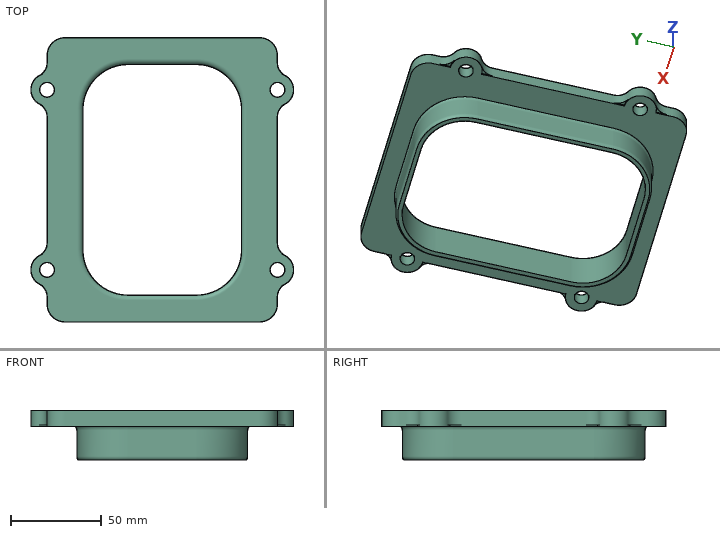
import cadquery as cq
import math

plate_width = 128.0
plate_length = 158.0
plate_thickness = 9.0
plate_corner_radius = 10.0
total_height = 27.6

lug_radius = 9.0
lug_pitch_y = 100.0
screw_hole_diameter = 8.0

lug_blend_radius = 8.0
lug_blend_thickness = 8.0

collar_width = 95.0
collar_length = 135.0
collar_corner_radius = 28.5
collar_wall = 3.5

fillet_radius = 3.0
rim_fillet_radius = 2.5
rim_trim = 0.5

select_margin = 0.2

plate_bottom = total_height - plate_thickness
blend_bottom = total_height - lug_blend_thickness
opening_width = collar_width - 2 * collar_wall
opening_length = collar_length - 2 * collar_wall
opening_corner_radius = collar_corner_radius - collar_wall
lug_centers = [
    (side * plate_width / 2, end * lug_pitch_y / 2)
    for side in (-1, 1)
    for end in (-1, 1)
]


def rounded_block(width, length, corner_radius, bottom, top):
    """Block centred on the Z axis with rounded vertical edges."""
    block = cq.Workplane("XY").workplane(offset=bottom).rect(width, length).extrude(top - bottom)
    return block.edges("|Z").fillet(corner_radius)


def cylinders(centers, radius, bottom, top):
    """Vertical cylinders of one radius at the given XY centres."""
    plane = cq.Workplane("XY").workplane(offset=bottom)
    return plane.pushPoints(centers).circle(radius).extrude(top - bottom)


def edges_near_plane(width, length, z):
    """Selector for edges at height z inside a centred width x length rectangle."""
    return cq.selectors.BoxSelector(
        (-width / 2 - select_margin, -length / 2 - select_margin, z - select_margin),
        (width / 2 + select_margin, length / 2 + select_margin, z + select_margin),
    )


def make_plate(bottom):
    """Plate with its four lugs, from the given height up to the top face."""
    plate = rounded_block(plate_width, plate_length, plate_corner_radius, bottom, total_height)
    return plate.union(cylinders(lug_centers, lug_radius, bottom, total_height))


def make_lug_blend(center):
    """Web on both sides of one lug, hollowed by arcs tangent to the lug and the plate edge."""
    edge_x, lug_y = center
    side = math.copysign(1, edge_x)
    center_distance = lug_radius + lug_blend_radius
    arc_offset_y = math.sqrt(center_distance**2 - lug_blend_radius**2)

    tangent_ratio = lug_radius / center_distance
    tangent_x = edge_x + side * lug_blend_radius * tangent_ratio
    tangent_offset_y = arc_offset_y * tangent_ratio

    web = (
        cq.Workplane("XY")
        .workplane(offset=blend_bottom)
        .moveTo(edge_x, lug_y - arc_offset_y)
        .lineTo(edge_x, lug_y + arc_offset_y)
        .lineTo(tangent_x, lug_y + tangent_offset_y)
        .lineTo(tangent_x, lug_y - tangent_offset_y)
        .close()
        .extrude(lug_blend_thickness)
    )
    arc_centers = [
        (edge_x + side * lug_blend_radius, lug_y + end * arc_offset_y)
        for end in (-1, 1)
    ]
    return web.cut(cylinders(arc_centers, lug_blend_radius, blend_bottom, total_height))


def make_collar():
    """Collar whose lower rim is a fillet trimmed flat at Z = 0."""
    collar = rounded_block(collar_width, collar_length, collar_corner_radius, -rim_trim, total_height)
    collar = collar.faces("<Z").edges().fillet(rim_fillet_radius)
    trim = cq.Workplane("XY").rect(plate_width, plate_length).extrude(-rim_trim)
    return collar.cut(trim)


body = make_plate(blend_bottom).union(make_collar())
body = body.edges(edges_near_plane(collar_width, collar_length, blend_bottom)).fillet(fillet_radius)

body = body.union(make_plate(plate_bottom))
for lug_center in lug_centers:
    body = body.union(make_lug_blend(lug_center))

body = body.cut(rounded_block(opening_width, opening_length, opening_corner_radius, 0, total_height))
body = body.edges(edges_near_plane(opening_width, opening_length, total_height)).fillet(fillet_radius)

result = body.cut(cylinders(lug_centers, screw_hole_diameter / 2, plate_bottom, total_height))